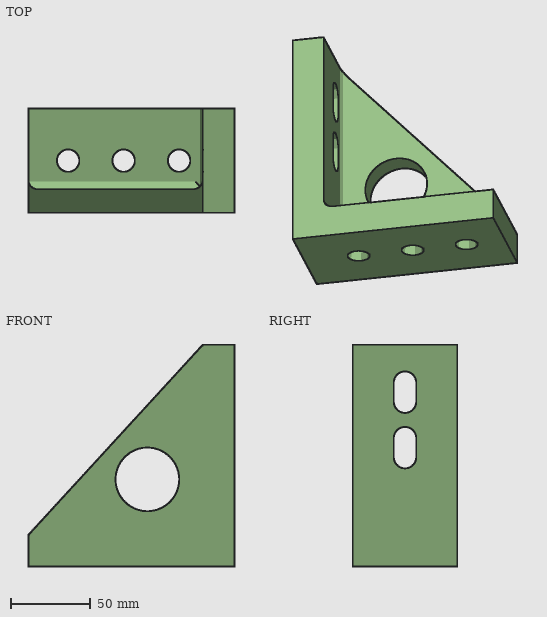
import cadquery as cq

length = 130.0
width = 66.0
height = 140.0

plate_thickness = 20.0
web_thickness = 15.0
fillet_radius = 6.0

hole_diameter = 14.0
hole_pitch = 35.0
hole_count = 3
first_hole_x = 25.0
slot_length = 26.0
slot_count = 2
first_slot_z = 75.0

window_diameter = 40.0
window_x = 75.0
window_z = 55.0

upright_x = length - plate_thickness
middle_y = width / 2


def rounded_cavity(edge):
    """Box between the walls, overshooting the open sides, with one edge rounded."""
    return (
        cq.Workplane("XY")
        .box(length + upright_x, width, height, centered=False)
        .translate((-length, web_thickness, plate_thickness))
        .edges(edge)
        .fillet(fillet_radius)
    )


def bracket_body():
    """Triangular block hollowed to a base, an upright and a front web."""
    outline = [
        (0, 0),
        (length, 0),
        (length, height),
        (upright_x, height),
        (0, plate_thickness),
    ]
    block = cq.Workplane("XZ").polyline(outline).close().extrude(-width)

    cavity = rounded_cavity(">X and <Y")
    cavity = cavity.intersect(rounded_cavity(">X and <Z"))
    cavity = cavity.intersect(rounded_cavity("<Y and <Z"))
    return block.cut(cavity)


def base_holes():
    centers = [(first_hole_x + i * hole_pitch, middle_y) for i in range(hole_count)]
    return (
        cq.Workplane("XY")
        .pushPoints(centers)
        .circle(hole_diameter / 2)
        .extrude(plate_thickness + fillet_radius)
    )


def upright_slots():
    centers = [(middle_y, first_slot_z + i * hole_pitch) for i in range(slot_count)]
    return (
        cq.Workplane("YZ", origin=(upright_x - fillet_radius, 0, 0))
        .pushPoints(centers)
        .slot2D(slot_length, hole_diameter, 90)
        .extrude(plate_thickness + fillet_radius)
    )


def web_window():
    return (
        cq.Workplane("XZ")
        .center(window_x, window_z)
        .circle(window_diameter / 2)
        .extrude(-web_thickness)
    )


result = bracket_body().cut(base_holes()).cut(upright_slots()).cut(web_window())